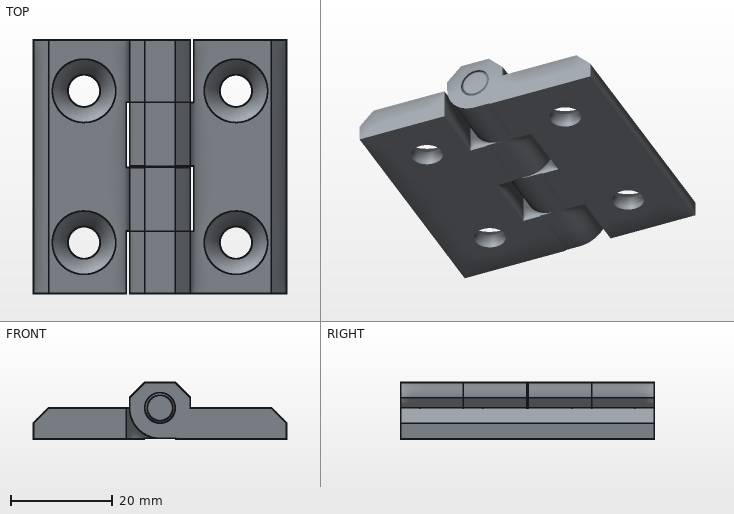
import cadquery as cq

length = 50.1
half_width = 25.0
plate_height = 6.15
chamfer = 3.0

knuckle_radius = 6.0
axis_height = plate_height
knuckle_top = 11.2
knuckle_bottom = axis_height - knuckle_radius
foot_start = 3.1
inner_joint = 12.7
middle_gap = 0.2
notch_reach = 6.6

pin_radius = 3.0
pin_chamfer = 0.5

hole_offset = 15.0
hole_diameter = 6.3
countersink_diameter = 12.5
countersink_angle = 90.0

half_length = length / 2
half_gap = middle_gap / 2


def extrude_along_y(profile, y_start, y_end):
    """Extrude a closed XZ profile from y_start to y_end."""
    return profile.extrude(y_start - y_end).translate((0, y_start, 0))


def make_plate():
    """Flat plate on the +X side, up to its notch wall, with one chamfered edge."""
    profile = (
        cq.Workplane("XZ")
        .moveTo(notch_reach, 0)
        .lineTo(half_width, 0)
        .lineTo(half_width, plate_height - chamfer)
        .lineTo(half_width - chamfer, plate_height)
        .lineTo(notch_reach, plate_height)
        .close()
    )
    return extrude_along_y(profile, -half_length, half_length)


def make_knuckle(y_start, y_end):
    """Knuckle with a chamfered top, a round lower flank and a web to the +X plate."""
    arc_middle = knuckle_radius / 2 ** 0.5
    profile = (
        cq.Workplane("XZ")
        .moveTo(0, knuckle_bottom)
        .lineTo(foot_start, knuckle_bottom)
        .lineTo(foot_start, 0)
        .lineTo(notch_reach, 0)
        .lineTo(notch_reach, plate_height)
        .lineTo(knuckle_radius, plate_height)
        .lineTo(knuckle_radius, knuckle_top - chamfer)
        .lineTo(knuckle_radius - chamfer, knuckle_top)
        .lineTo(chamfer - knuckle_radius, knuckle_top)
        .lineTo(-knuckle_radius, knuckle_top - chamfer)
        .lineTo(-knuckle_radius, axis_height)
        .threePointArc((-arc_middle, axis_height - arc_middle), (0, knuckle_bottom))
        .close()
    )
    return extrude_along_y(profile, y_start, y_end)


def cut_screw_holes(leaf):
    """Cut the two countersunk screw holes of a +X leaf."""
    return (
        leaf.faces(cq.selectors.NearestToPointSelector((hole_offset, 0, plate_height)))
        .workplane(origin=(0, 0, plate_height))
        .pushPoints([(hole_offset, -hole_offset), (hole_offset, hole_offset)])
        .cskHole(hole_diameter, countersink_diameter, countersink_angle)
    )


def make_pin():
    """Hinge pin over the full length, chamfered at both ends."""
    pin = cq.Workplane("XZ").center(0, axis_height).circle(pin_radius)
    return extrude_along_y(pin, -half_length, half_length).faces("<Y or >Y").chamfer(pin_chamfer)


def make_bored_leaf():
    """+X leaf with its front and rear-middle knuckles and a bore for the pin."""
    leaf = make_plate()
    for y_start, y_end in [(-half_length, -inner_joint), (half_gap, inner_joint)]:
        leaf = leaf.union(make_knuckle(y_start, y_end))
    leaf = cut_screw_holes(leaf)
    bore = cq.Workplane("XZ").center(0, axis_height).circle(pin_radius)
    return leaf.cut(extrude_along_y(bore, -half_length, half_length))


bored_leaf = make_bored_leaf()
left_leaf = bored_leaf.rotate((0, 0, 0), (0, 0, 1), 180)

right_leaf = bored_leaf.union(make_pin())

result = cq.Compound.makeCompound([left_leaf.solids().val(), right_leaf.solids().val()])